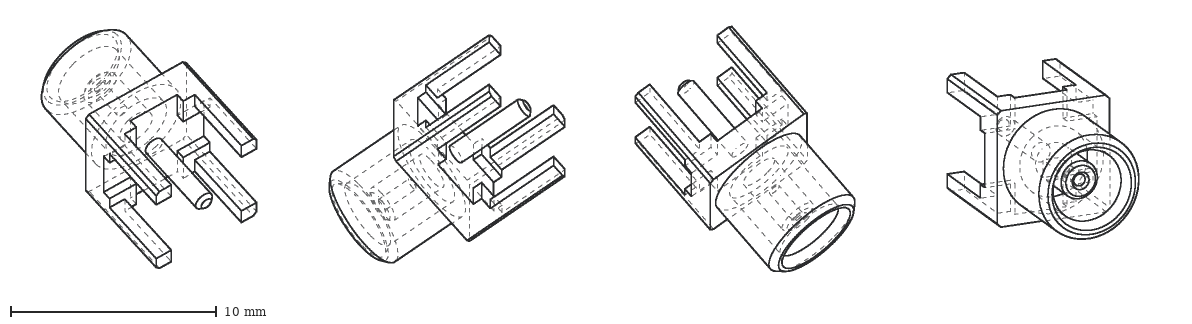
import cadquery as cq

length = 10.4
block_width = 6.0
block_edge_chamfer = 0.2

barrel_length = 4.5
barrel_radius = 2.67
barrel_chamfer = 0.33

bore_radius = 1.82
bore_mouth_radius = 2.12
bore_mouth_depth = 0.55
bore_depth = barrel_length

socket_radius = 0.97
socket_chamfer = 0.18
socket_tip_x = 1.3
socket_hole_radius = 0.3
socket_hole_mouth_radius = 0.45
socket_hole_depth = 2.0
socket_cone_depth = 0.18

web_end_x = 6.0
shoulder_end_x = 6.5
leg_width = 0.9
shoulder_width = 1.6

pin_radius = 0.5
pin_chamfer = 0.2


def cylinder(start_x, end_x, radius):
    """Cylinder on the X axis between two stations."""
    return cq.Workplane("YZ").workplane(offset=start_x).circle(radius).extrude(end_x - start_x)


def cross_cutter(start_x, corner_width):
    """Two crossing slots, open at the leg ends, that leave four square corners."""
    depth = length - start_x
    gap = block_width - 2 * corner_width
    plane = cq.Workplane("YZ").workplane(offset=start_x)
    return plane.rect(gap, block_width).extrude(depth).union(plane.rect(block_width, gap).extrude(depth))


def make_block():
    """Square block cut into four stepped legs."""
    block = (
        cq.Workplane("YZ")
        .workplane(offset=barrel_length)
        .rect(block_width, block_width)
        .extrude(length - barrel_length)
        .edges("|X")
        .chamfer(block_edge_chamfer)
    )
    block = block.cut(cross_cutter(shoulder_end_x, leg_width))
    return block.cut(cross_cutter(web_end_x, shoulder_width))


def make_barrel():
    """Chamfered barrel with a bore that widens at its mouth."""
    barrel = cylinder(0, barrel_length, barrel_radius).faces("<X").chamfer(barrel_chamfer)
    bore = (
        cq.Workplane("XY")
        .polyline([
            (0, 0),
            (0, bore_mouth_radius),
            (bore_mouth_depth, bore_radius),
            (bore_depth, bore_radius),
            (bore_depth, 0),
        ])
        .close()
        .revolve(360, (0, 0, 0), (1, 0, 0))
    )
    return barrel.cut(bore)


def make_socket():
    """Contact socket with a countersunk hole that ends in a cone."""
    socket = cylinder(socket_tip_x, bore_depth, socket_radius).faces("<X").chamfer(socket_chamfer)
    countersink_depth = socket_hole_mouth_radius - socket_hole_radius
    hole_end_x = socket_tip_x + socket_hole_depth
    hole = (
        cq.Workplane("XY")
        .polyline([
            (socket_tip_x, 0),
            (socket_tip_x, socket_hole_mouth_radius),
            (socket_tip_x + countersink_depth, socket_hole_radius),
            (hole_end_x, socket_hole_radius),
            (hole_end_x + socket_cone_depth, 0),
        ])
        .close()
        .revolve(360, (0, 0, 0), (1, 0, 0))
    )
    return socket.cut(hole)


def make_pin():
    """Solder pin reaching from the web to the plane of the leg ends."""
    return cylinder(web_end_x, length, pin_radius).faces(">X").chamfer(pin_chamfer)


result = make_block().union(make_barrel()).union(make_socket()).union(make_pin())